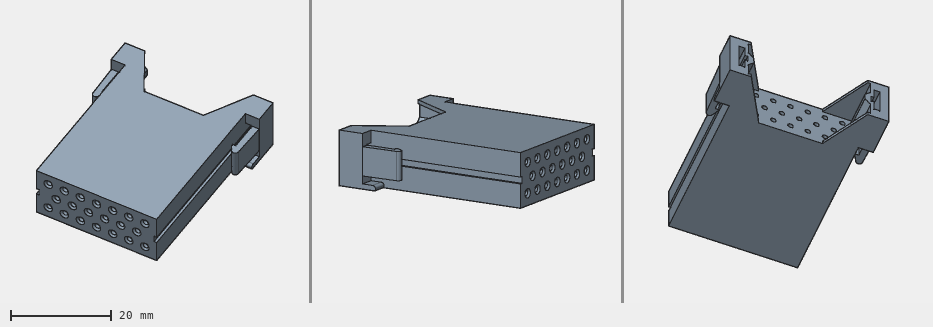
import cadquery as cq
import math

width = 34.0
length = 40.4
height = 11.4
mid_z = height / 2

body_width = 27.65
body_half = body_width / 2
ear_half = width / 2
ear_front_y = 34.95

plate_thickness = 0.8
cavity_half = 13.1
notch_floor_y = 30.4
notch_floor_width = 13.65
notch_mouth_width = 24.95

groove_height = 1.4
groove_depth = 0.6
rib_depth = 1.2
rib_root_height = 4.1

latch_height = 5.98
latch_inner_x = 15.35
latch_root_x = 16.95
latch_tip_x = 16.73
latch_tip_radius = 0.73
latch_tip_y = 26.5
barb_x = 14.62
barb_back_y = 28.55
barb_angle = math.radians(60)
window_height = 6.25
window_outer_x = 15.05

lip_height = 1.1
lip_end_y = 31.9
lip_flat_end_y = 32.55
lip_nose_z = 0.53
lip_bottom_end_y = 32.1

hole_diameter = 1.15
countersink_diameter = 1.95
countersink_angle = 90
outer_row_span = 22.18
row_pitch = 3.2
outer_row_count = 7
middle_row_count = outer_row_count - 1
hole_pitch = outer_row_span / (outer_row_count - 1)


def box(x_min, x_max, y_min, y_max, z_min, z_max):
    """Box given by its limits along each axis."""
    solid = cq.Workplane("XY").box(x_max - x_min, y_max - y_min, z_max - z_min, centered=False)
    return solid.translate((x_min, y_min, z_min))


def both_sides(solid):
    """The +X solid together with its mirror image."""
    return solid.union(solid.mirror("YZ"))


def make_block():
    """Main block with the full-height ears."""
    block = box(-body_half, body_half, 0, length, 0, height)
    ears = box(-ear_half, ear_half, ear_front_y, length, 0, height)
    return block.union(ears)


def make_cavity():
    """Space between the two plates, less the ribs along its side walls."""
    cavity = box(
        -cavity_half, cavity_half, notch_floor_y, length, plate_thickness, height - plate_thickness
    )
    crest_x = cavity_half - rib_depth
    crest_half = groove_height / 2
    root_half = rib_root_height / 2
    rib = (
        cq.Workplane("XZ", origin=(0, length, mid_z))
        .polyline([
            (cavity_half, -root_half),
            (crest_x, -crest_half),
            (crest_x, crest_half),
            (cavity_half, root_half),
        ])
        .close()
        .extrude(length - notch_floor_y)
    )
    return cavity.cut(both_sides(rib))


def make_notch(z_min):
    """V-shaped notch through one plate."""
    return (
        cq.Workplane("XY", origin=(0, 0, z_min))
        .polyline([
            (-notch_floor_width / 2, notch_floor_y),
            (notch_floor_width / 2, notch_floor_y),
            (notch_mouth_width / 2, length),
            (-notch_mouth_width / 2, length),
        ])
        .close()
        .extrude(plate_thickness)
    )


def make_side_openings():
    """Full-length grooves in the sides and the windows through the ears."""
    groove = box(
        body_half - groove_depth, body_half, 0, length, mid_z - groove_height / 2, mid_z + groove_height / 2
    )
    window = box(
        body_half, window_outer_x, ear_front_y, length, mid_z - window_height / 2, mid_z + window_height / 2
    )
    return both_sides(groove.union(window))


def make_latch():
    """Tapered latch arm on the +X side with a rounded tip and an inward barb."""
    centre_x = latch_tip_x - latch_tip_radius
    centre_y = latch_tip_y + latch_tip_radius
    ramp_start_x = centre_x - latch_tip_radius * math.sin(barb_angle)
    ramp_start_y = centre_y - latch_tip_radius * math.cos(barb_angle)
    ramp_end_y = ramp_start_y + (ramp_start_x - barb_x) * math.tan(barb_angle)
    return (
        cq.Workplane("XY", origin=(0, 0, mid_z - latch_height / 2))
        .moveTo(latch_inner_x, ear_front_y)
        .lineTo(latch_root_x, ear_front_y)
        .lineTo(latch_tip_x, centre_y)
        .threePointArc((centre_x, latch_tip_y), (ramp_start_x, ramp_start_y))
        .lineTo(barb_x, ramp_end_y)
        .lineTo(barb_x, barb_back_y)
        .lineTo(latch_inner_x, barb_back_y)
        .close()
        .extrude(latch_height)
    )


def make_lip():
    """Lip reaching forward from the bottom of the +X ear, with a rounded nose."""
    return (
        cq.Workplane("YZ", origin=(body_half, 0, 0))
        .moveTo(ear_front_y, 0)
        .lineTo(ear_front_y, lip_height)
        .lineTo(lip_flat_end_y, lip_height)
        .tangentArcPoint((lip_end_y, lip_nose_z), relative=False)
        .tangentArcPoint((lip_bottom_end_y, 0), relative=False)
        .close()
        .extrude(ear_half - body_half)
    )


def row_points(count, z):
    """Evenly spaced hole centres in one row, centred on X = 0."""
    return [((i - (count - 1) / 2) * hole_pitch, z) for i in range(count)]


def make_holes():
    """Three staggered rows of countersunk contact holes."""
    centres = (
        row_points(outer_row_count, mid_z + row_pitch)
        + row_points(middle_row_count, mid_z)
        + row_points(outer_row_count, mid_z - row_pitch)
    )
    hole_radius = hole_diameter / 2
    sink_radius = countersink_diameter / 2
    sink_depth = (sink_radius - hole_radius) / math.tan(math.radians(countersink_angle / 2))
    hole = (
        cq.Workplane("XY")
        .polyline([
            (0, 0),
            (sink_radius, 0),
            (hole_radius, sink_depth),
            (hole_radius, notch_floor_y),
            (0, notch_floor_y),
        ])
        .close()
        .revolve(360, (0, 0), (0, 1))
        .val()
    )
    holes = [hole.translate(cq.Vector(x, 0, z)) for x, z in centres]
    return cq.Workplane("XY").newObject([cq.Compound.makeCompound(holes)])


result = (
    make_block()
    .cut(make_cavity())
    .cut(make_notch(0))
    .cut(make_notch(height - plate_thickness))
    .cut(make_side_openings())
    .union(both_sides(make_latch()))
    .union(both_sides(make_lip()))
    .cut(make_holes())
)